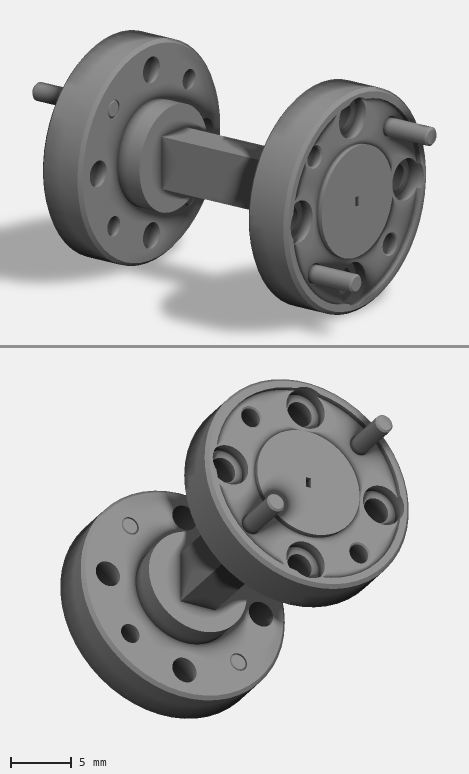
import cadquery as cq
import math

total_length = 33.15
flange_span = 25.45
flange_thickness = 4.1
flange_diameter = 19.05
flange_chamfer = 0.3

hub_diameter = 9.15
hub_length = 2.32

bar_width = 3.25
bar_height = 4.5

boss_diameter = 9.55
recess_diameter = 17.3
recess_depth = 0.5

bolt_circle_diameter = 14.3
bolt_hole_diameter = 2.25
counterbore_diameter = 3.58
counterbore_depth = 1.52

pin_diameter = 1.6
pin_end_chamfer = 0.15
clearance_hole_diameter = 1.72
mouth_chamfer = 0.13

aperture_width = 0.5
aperture_height = 0.9
aperture_depth = 1.0

face_x = -flange_span / 2
back_x = face_x + flange_thickness
recess_x = face_x + recess_depth
pin_length = total_length / 2 + back_x
bolt_radius = bolt_circle_diameter / 2


def disc(start_x, length, diameter, y=0.0, z=0.0):
    """Cylinder that runs from start_x along +X."""
    return cq.Workplane("YZ", origin=(start_x, y, z)).circle(diameter / 2).extrude(length)


def around_bolt_circle(angles):
    """Y, Z points on the bolt circle at the given angles from +Y."""
    return [
        (bolt_radius * math.cos(math.radians(a)), bolt_radius * math.sin(math.radians(a)))
        for a in angles
    ]


bolt_points = around_bolt_circle([0, 90, 180, 270])
pin_points = around_bolt_circle([135, 315])
clearance_points = around_bolt_circle([45, 225])


def half_turn(shape):
    """Carry a left-hand shape to the right-hand end."""
    return shape.rotate((0, 0, 0), (0, 0, 1), 180)


def make_recess():
    """Ring-shaped recess in the mating face, around the boss."""
    return disc(face_x, recess_depth, recess_diameter).cut(disc(face_x, recess_depth, boss_diameter))


def make_bolt_hole(y, z):
    """Counterbored through hole."""
    hole = disc(face_x, flange_thickness, bolt_hole_diameter, y, z)
    return hole.union(disc(face_x, counterbore_depth, counterbore_diameter, y, z))


def make_chamfered_hole(y, z, diameter):
    """Through hole with a chamfered mouth at the recess floor."""
    radius = diameter / 2
    profile = [
        (recess_x, 0),
        (recess_x, radius + mouth_chamfer),
        (recess_x + mouth_chamfer, radius),
        (back_x, radius),
        (back_x, 0),
    ]
    hole = cq.Workplane("XY").polyline(profile).close().revolve(360, (0, 0, 0), (1, 0, 0))
    return hole.translate((0, y, z))


def make_flange():
    """Left-hand flange with its hub, recess and holes."""
    flange = disc(face_x, flange_thickness, flange_diameter).edges().chamfer(flange_chamfer)
    flange = flange.union(disc(back_x, hub_length, hub_diameter))
    flange = flange.cut(make_recess())
    for y, z in bolt_points:
        flange = flange.cut(make_bolt_hole(y, z))
    for y, z in pin_points:
        flange = flange.cut(make_chamfered_hole(y, z, pin_diameter))
    for y, z in clearance_points:
        flange = flange.cut(make_chamfered_hole(y, z, clearance_hole_diameter))
    aperture = cq.Workplane("YZ", origin=(face_x, 0, 0)).rect(aperture_width, aperture_height)
    return flange.cut(aperture.extrude(aperture_depth))


def make_waveguide():
    """Both flanges and the bar between their hubs, as one solid."""
    bar_length = flange_span - 2 * (flange_thickness + hub_length)
    bar = cq.Workplane("XY").box(bar_length, bar_width, bar_height)
    flange = make_flange()
    return bar.union(flange).union(half_turn(flange))


def make_pin(y, z):
    """Dowel pin of the left-hand flange, flush with the flange's back."""
    pin = disc(-total_length / 2, pin_length, pin_diameter, y, z)
    return pin.edges().chamfer(pin_end_chamfer)


waveguide = make_waveguide()

pins = []
for y, z in pin_points:
    left_pin = make_pin(y, z)
    pins += [left_pin.val(), half_turn(left_pin).val()]

result = cq.Compound.makeCompound([waveguide.val(), *pins])